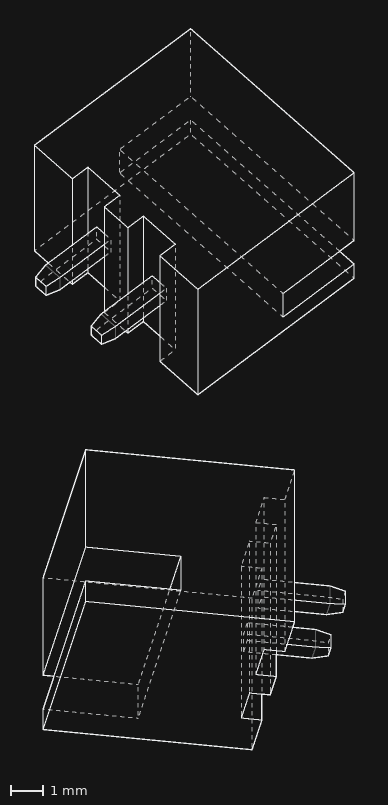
import cadquery as cq

total_length = 8.6
width = 7.5
height = 5.6
pin_projection = 2.0
body_length = total_length - pin_projection

pin_pitch = 2.545
pin_side = 0.65
pin_height = 2.52
tip_side = 0.48
tip_length = 0.5
groove_width = 1.46
groove_depth = 0.65

slot_depth = 3.0
slot_bottom = 0.76
slot_height = 1.25

pin_positions = (-pin_pitch / 2, pin_pitch / 2)


def box(size_x, size_y, size_z, center_x, start_y, start_z):
    """Box centred on center_x, growing toward +Y and +Z from its start."""
    block = cq.Workplane("XY").box(size_x, size_y, size_z, centered=(True, False, False))
    return block.translate((center_x, start_y, start_z))


def make_pin(center_x):
    """Square pin from the groove floor, ending in a tapered tip."""
    tip_base_y = tip_length - pin_projection
    shank_length = groove_depth - tip_base_y
    shank = box(pin_side, shank_length, pin_side, center_x, tip_base_y, pin_height - pin_side / 2)
    tip = (
        cq.Workplane("XZ", origin=(center_x, tip_base_y, pin_height))
        .rect(pin_side, pin_side)
        .workplane(offset=tip_length)
        .rect(tip_side, tip_side)
        .loft(ruled=True)
    )
    return shank.union(tip)


result = box(width, body_length, height, 0, 0, 0)
result = result.cut(box(width, slot_depth, slot_height, 0, body_length - slot_depth, slot_bottom))

for pin_x in pin_positions:
    result = result.cut(box(groove_width, groove_depth, height, pin_x, 0, 0))
    result = result.union(make_pin(pin_x))